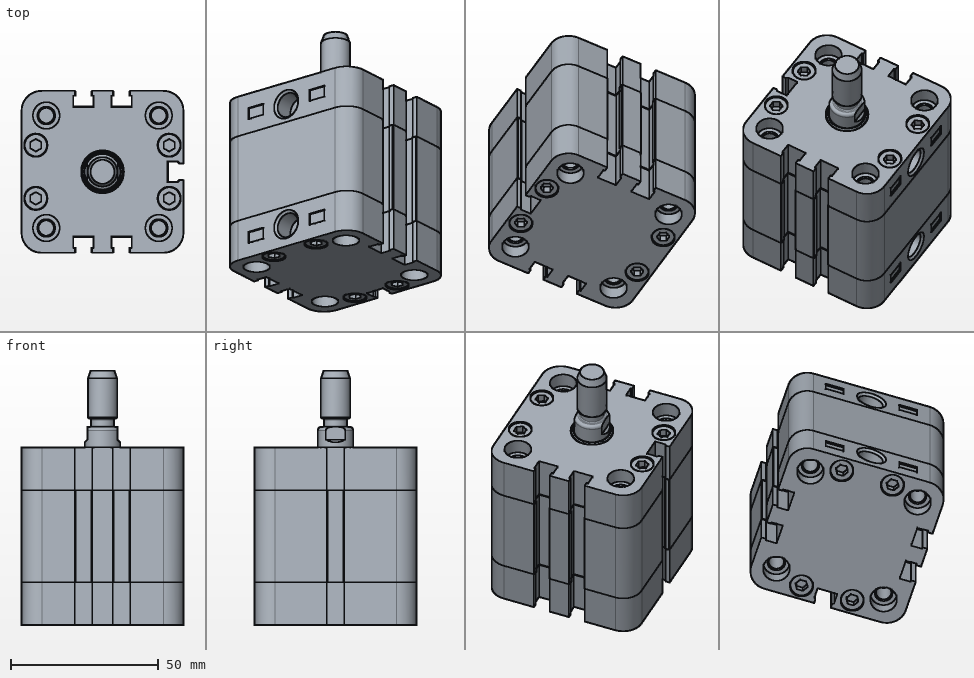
import cadquery as cq
import math

body_width = 54.8
half_width = body_width / 2
overall_height = 86.0
corner_radius = 6.8
body_height = 60.0
cap_height = 14.5
tube_height = body_height - 2 * cap_height
bore_diameter = 40.0
rod_diameter = 12.0

slot_spacing = 12.9
square_lip = 1.7
tapered_lip = 1.4
cap_slot = {"neck": 5.85, "inner": 7.0, "depth": 5.6, "chamfer": 0.0}
tube_slot = {"neck": 5.3, "inner": 6.7, "depth": 5.25, "chamfer": 0.3}

mount_pitch = 38.0
mount_counterbore_diameter = 9.0
mount_counterbore_depth = 5.2
mount_hole_diameter = 5.2
mount_chamfer = 0.4

screw_pitch_x = 45.1
screw_pitch_y = 18.0
screw_recess_diameter = 7.9
screw_recess_depth = 4.3
screw_head_diameter = 7.5
screw_head_sink = 0.4
hex_across_flats = 3.7
hex_depth = 2.6

port_diameter = 8.6
port_mouth_diameter = 10.3
port_chamfer_depth = 0.9
port_from_end = 8.0
panel_width = 6.4
panel_height = 4.0
panel_depth = 0.6
panel_spacing = 26.1
panel_from_end = 7.3

wiper_mouth_diameter = 14.5
wiper_floor_outer_diameter = 14.0
wiper_floor_inner_diameter = 13.7
wiper_lip_diameter = 12.55
wiper_depth = 0.5

piston_thickness = 10.3
shoulder_height = 7.0
shoulder_fillet = 1.2
flats_width = 10.15
flats_height = 2.7
undercut_diameter = 7.9
undercut_fillet = 0.35
undercut_top = 9.7
thread_diameter = 10.0
thread_chamfer = 0.4
thread_cone_height = 23.3
tip_diameter = 8.1


def slot_cutter(height, slot, tapered):
    """T-slot cut into the +X face at Y = 0; the backs of its lips are square or taper at 45 degrees."""
    neck = slot["neck"] / 2
    inner = slot["inner"] / 2
    mouth = neck + slot["chamfer"]
    chamfer_x = half_width - slot["chamfer"]
    floor_x = half_width - slot["depth"]
    if tapered:
        lip_x = half_width - tapered_lip
        lip_back_x = lip_x - (inner - neck)
    else:
        lip_x = half_width - square_lip
        lip_back_x = lip_x
    lower_half = [(chamfer_x, -neck), (lip_x, -neck), (lip_back_x, -inner), (floor_x, -inner)]
    if slot["chamfer"] > 0:
        lower_half.insert(0, (half_width, -mouth))
    upper_half = [(x, -y) for x, y in reversed(lower_half)]
    return cq.Workplane("XY").polyline(lower_half + upper_half).close().extrude(height)


def profile_block(height, slot):
    """Rounded square block from Z = 0 with two slots on each Y side and one on +X."""
    block = cq.Workplane("XY").rect(body_width, body_width).extrude(height)
    block = block.edges("|Z").fillet(corner_radius)
    square_slot = slot_cutter(height, slot, tapered=False)
    for angle in (90, -90):
        for offset in (-slot_spacing / 2, slot_spacing / 2):
            placed_slot = square_slot.translate((0, offset, 0)).rotate((0, 0, 0), (0, 0, 1), angle)
            block = block.cut(placed_slot)
    return block.cut(slot_cutter(height, slot, tapered=True))


def mount_holes():
    """Counterbored holes through the cap with a chamfered thread mouth."""
    floor = cap_height - mount_counterbore_depth
    hole_radius = mount_hole_diameter / 2
    mouth_radius = hole_radius + mount_chamfer
    counterbore_radius = mount_counterbore_diameter / 2
    outline = [
        (0, 0),
        (hole_radius, 0),
        (hole_radius, floor - mount_chamfer),
        (mouth_radius, floor),
        (counterbore_radius, floor),
        (counterbore_radius, cap_height),
        (0, cap_height),
    ]
    hole = cq.Workplane("XZ").polyline(outline).close().revolve(360, (0, 0), (0, 1)).val()
    places = cq.Workplane("XY").rect(mount_pitch, mount_pitch, forConstruction=True).vertices()
    return places.eachpoint(lambda place: hole.moved(place))


def screw_recesses():
    """Ring-shaped clearance around each screw head, its sunk top and its hex socket."""
    hex_diameter = hex_across_flats / math.cos(math.radians(30))
    head_top = cap_height - screw_head_sink
    recess_floor = cap_height - screw_recess_depth
    recess = (
        cq.Workplane("XY", origin=(0, 0, recess_floor))
        .circle(screw_recess_diameter / 2)
        .extrude(screw_recess_depth)
    )
    head = (
        cq.Workplane("XY", origin=(0, 0, recess_floor))
        .circle(screw_head_diameter / 2)
        .extrude(head_top - recess_floor)
    )
    socket = (
        cq.Workplane("XY", origin=(0, 0, head_top))
        .transformed(rotate=(0, 0, 30))
        .polygon(6, hex_diameter)
        .extrude(-hex_depth)
    )
    cutter = recess.cut(head).union(socket).val()
    places = cq.Workplane("XY").rect(screw_pitch_x, screw_pitch_y, forConstruction=True).vertices()
    return places.eachpoint(lambda place: cutter.moved(place))


def port():
    """Air port entering from -X and ending on a cylinder of bore size."""
    mouth_radius = port_mouth_diameter / 2
    port_radius = port_diameter / 2
    outline = [
        (-half_width, 0),
        (-half_width, mouth_radius),
        (-half_width + port_chamfer_depth, port_radius),
        (0, port_radius),
        (0, 0),
    ]
    passage = cq.Workplane("XY").polyline(outline).close().revolve(360, (0, 0), (1, 0))
    passage = passage.translate((0, 0, cap_height - port_from_end))
    core = cq.Workplane("XY").circle(bore_diameter / 2).extrude(cap_height)
    return passage.cut(core)


def marking_panels():
    """Two shallow rectangular panels beside the port."""
    return (
        cq.Workplane("YZ", origin=(-half_width, 0, cap_height - panel_from_end))
        .pushPoints([(-panel_spacing / 2, 0), (panel_spacing / 2, 0)])
        .rect(panel_width, panel_height)
        .extrude(panel_depth)
    )


def end_cap():
    """Plain end cap with its outer face at Z = cap_height."""
    cap = profile_block(cap_height, cap_slot)
    return cap.cut(mount_holes()).cut(screw_recesses()).cut(port()).cut(marking_panels())


def rod_bore():
    return cq.Workplane("XY").circle(rod_diameter / 2).extrude(cap_height)


def wiper_groove():
    """Ring groove at the outer face that leaves a conical wiper lip around the rod."""
    floor = cap_height - wiper_depth
    outline = [
        (wiper_lip_diameter / 2, cap_height),
        (wiper_floor_inner_diameter / 2, floor),
        (wiper_floor_outer_diameter / 2, floor),
        (wiper_mouth_diameter / 2, cap_height),
    ]
    return cq.Workplane("XZ").polyline(outline).close().revolve(360, (0, 0), (0, 1))


def make_lower_cap():
    return end_cap().mirror("XY").translate((0, 0, cap_height))


def make_upper_cap():
    return end_cap().cut(rod_bore()).cut(wiper_groove()).translate((0, 0, body_height - cap_height))


def make_tube():
    tube = profile_block(tube_height, tube_slot)
    bore = cq.Workplane("XY").circle(bore_diameter / 2).extrude(tube_height)
    return tube.cut(bore).translate((0, 0, cap_height))


def flat_cutter():
    """Wrench flat on the +X side of the rod shoulder, with a 45 degree run-out below."""
    flat_x = flats_width / 2
    outside = rod_diameter / 2
    run_out = outside - flat_x
    outline = [
        (flat_x, flats_height),
        (outside, flats_height - run_out),
        (outside, shoulder_height),
        (flat_x, shoulder_height),
    ]
    cutter = cq.Workplane("XZ").polyline(outline).close().extrude(rod_diameter / 2, both=True)
    return cutter.translate((0, 0, body_height))


def make_piston_rod():
    """Piston resting on the lower cap, with the rod, wrench flats and threaded end."""
    piston_radius = bore_diameter / 2
    rod_radius = rod_diameter / 2
    undercut_radius = undercut_diameter / 2
    thread_radius = thread_diameter / 2
    piston_top = cap_height + piston_thickness
    shoulder_z = body_height + shoulder_height
    undercut_z = body_height + undercut_top
    bend = math.sqrt(0.5)
    rod = (
        cq.Workplane("XZ")
        .moveTo(0, cap_height)
        .lineTo(piston_radius, cap_height)
        .lineTo(piston_radius, piston_top)
        .lineTo(rod_radius, piston_top)
        .lineTo(rod_radius, shoulder_z - shoulder_fillet)
        .threePointArc(
            (rod_radius - shoulder_fillet * (1 - bend), shoulder_z - shoulder_fillet * (1 - bend)),
            (rod_radius - shoulder_fillet, shoulder_z),
        )
        .lineTo(undercut_radius + undercut_fillet, shoulder_z)
        .threePointArc(
            (undercut_radius + undercut_fillet * (1 - bend), shoulder_z + undercut_fillet * (1 - bend)),
            (undercut_radius, shoulder_z + undercut_fillet),
        )
        .lineTo(undercut_radius, undercut_z - undercut_fillet)
        .threePointArc(
            (undercut_radius + undercut_fillet * (1 - bend), undercut_z - undercut_fillet * (1 - bend)),
            (undercut_radius + undercut_fillet, undercut_z),
        )
        .lineTo(thread_radius - thread_chamfer, undercut_z)
        .lineTo(thread_radius, undercut_z + thread_chamfer)
        .lineTo(thread_radius, body_height + thread_cone_height)
        .lineTo(tip_diameter / 2, overall_height)
        .lineTo(0, overall_height)
        .close()
        .revolve(360, (0, 0), (0, 1))
    )
    flat = flat_cutter()
    return rod.cut(flat).cut(flat.mirror("YZ"))


lower_cap = make_lower_cap()
upper_cap = make_upper_cap()
tube = make_tube()
piston_rod = make_piston_rod()

result = cq.Compound.makeCompound([lower_cap.val(), upper_cap.val(), tube.val(), piston_rod.val()])